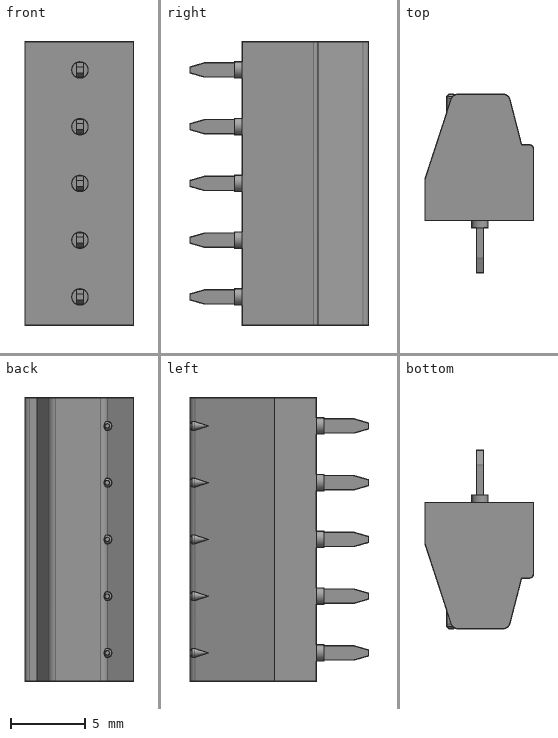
import cadquery as cq

housing_length = 19.05
left_width = 3.7
right_width = 3.6
housing_depth = 8.5
left_wall_depth = 2.8
step_depth = 5.1
shoulder_width = 0.8
top_left_inset = 1.87
top_right_inset = 1.68
top_corner_radius = 0.5
shoulder_radius = 0.3

pin_count = 5
pin_pitch = 3.81
collar_diameter = 1.1
collar_length = 0.5
pin_length = 3.5
blade_thickness = 0.5
blade_width = 0.97
tip_width = 0.4
tip_length = 1.0

stud_point_depth = 7.25
stud_radius = 0.3
stud_chamfer = 0.15

first_pin_z = -pin_pitch * (pin_count - 1) / 2
pin_heights = [first_pin_z + pin_pitch * i for i in range(pin_count)]


def make_housing():
    outline = [
        (-left_width, 0),
        (right_width, 0),
        (right_width, step_depth),
        (right_width - shoulder_width, step_depth),
        (right_width - top_right_inset, housing_depth),
        (-left_width + top_left_inset, housing_depth),
        (-left_width, left_wall_depth),
    ]
    block = cq.Workplane("XY").polyline(outline).close().extrude(housing_length / 2, both=True)
    block = block.edges("|Z").edges(">Y").fillet(top_corner_radius)
    return block.edges("|Z").edges(">X").edges(">Y").fillet(shoulder_radius)


def make_pin():
    collar = cq.Workplane("XZ").circle(collar_diameter / 2).extrude(collar_length)
    blade_outline = [
        (0, -blade_width / 2),
        (-pin_length + tip_length, -blade_width / 2),
        (-pin_length, -tip_width / 2),
        (-pin_length, tip_width / 2),
        (-pin_length + tip_length, blade_width / 2),
        (0, blade_width / 2),
    ]
    blade = cq.Workplane("YZ").polyline(blade_outline).close().extrude(blade_thickness / 2, both=True)
    return collar.union(blade)


def make_stud():
    slope_run = top_left_inset / (housing_depth - left_wall_depth)
    point_x = -left_width + (stud_point_depth - left_wall_depth) * slope_run
    taper_length = stud_radius / slope_run
    taper_top = stud_point_depth + taper_length
    cap_length = housing_depth - taper_top
    center = cq.Vector(point_x + stud_radius, taper_top, 0)
    along_y = cq.Vector(0, 1, 0)

    cap = cq.Solid.makeCylinder(stud_radius, cap_length, center, along_y)
    cap = cq.Workplane(cap).faces(">Y").edges().chamfer(stud_chamfer)
    rim = cq.Wire.makeCircle(stud_radius, center, along_y)
    point = cq.Vertex.makeVertex(point_x, stud_point_depth, 0)
    taper = cq.occ_impl.shapes.loft(point, rim, cap=True, ruled=True)
    return cap.union(cq.Workplane(taper))


body = make_housing()
pin = make_pin()
stud = make_stud()
for height in pin_heights:
    body = body.union(pin.translate((0, 0, height)))
    body = body.union(stud.translate((0, 0, height)))

result = body.solids()